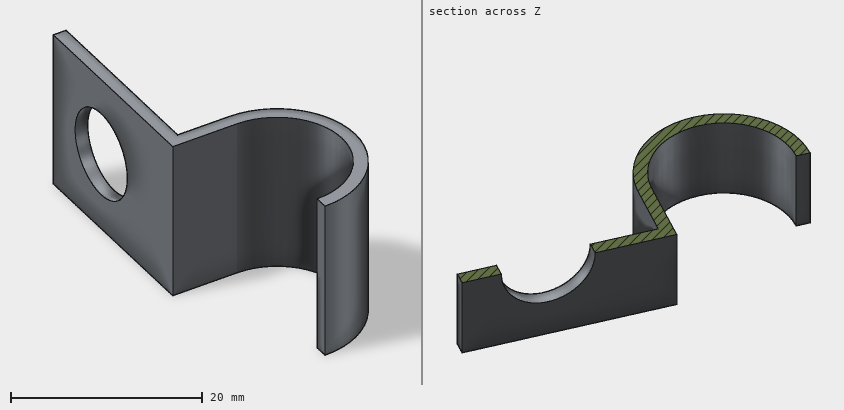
import cadquery as cq

overall_length = 41.2
overall_depth = 17.4
strap_width = 19.05
thickness = 1.55
hole_diameter = 10.35

outer_radius = strap_width / 2
inner_radius = outer_radius - thickness

leg_outer_x = overall_length - 2 * outer_radius
leg_inner_x = leg_outer_x + thickness
clip_center_x = leg_outer_x + outer_radius
clip_center_y = overall_depth - outer_radius
clip_inner_end_x = overall_length - thickness
hole_edge_distance = strap_width / 2


def make_strap():
    """Flat plate, upright leg and half-round clip as one bent profile."""
    return (
        cq.Workplane("XY")
        .moveTo(0, 0)
        .lineTo(leg_inner_x, 0)
        .lineTo(leg_inner_x, clip_center_y)
        .threePointArc(
            (clip_center_x, clip_center_y + inner_radius),
            (clip_inner_end_x, clip_center_y),
        )
        .lineTo(overall_length, clip_center_y)
        .threePointArc(
            (clip_center_x, overall_depth),
            (leg_outer_x, clip_center_y),
        )
        .lineTo(leg_outer_x, thickness)
        .lineTo(0, thickness)
        .close()
        .extrude(strap_width)
    )


def make_mounting_hole():
    """Cylinder along Y, centred across the strap, passing through the plate."""
    return (
        cq.Workplane("XZ")
        .center(hole_edge_distance, strap_width / 2)
        .circle(hole_diameter / 2)
        .extrude(-thickness)
    )


result = make_strap().cut(make_mounting_hole())